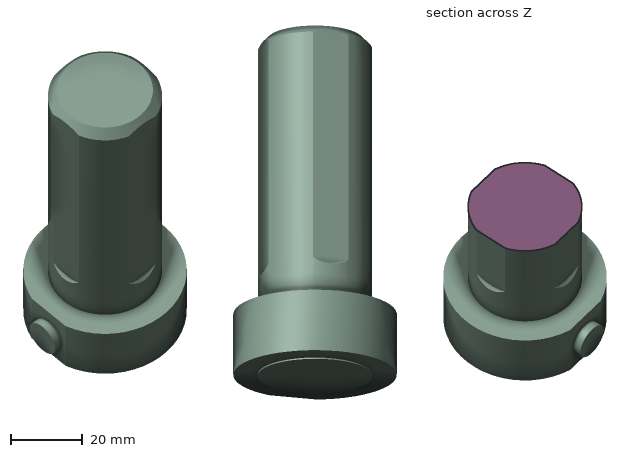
import cadquery as cq
import math

total_height = 98.0
base_diameter = 32.0
base_height = 0.4
collar_diameter = 45.5
collar_height = 17.6
collar_flat_width = 13.5
pin_diameter = 10.3
overall_depth = 46.8
pin_center_height = 8.5
shaft_diameter = 31.8
shaft_chamfer = 2.5
shaft_flat_width = 10.3
flat_end_height = 28.8
flat_end_radius = 12.5

collar_radius = collar_diameter / 2
shaft_radius = shaft_diameter / 2
pin_reach = overall_depth - collar_radius
collar_top = base_height + collar_height


def chord_distance(radius, width):
    """Distance from a circle's center to a chord of the given width."""
    return math.sqrt(radius**2 - (width / 2) ** 2)


def make_shaft():
    """Round shaft standing on the collar, chamfered at its free end."""
    shaft = cq.Workplane("XY").workplane(offset=collar_top)
    shaft = shaft.circle(shaft_radius).extrude(total_height - collar_top)
    return shaft.faces(">Z").chamfer(shaft_chamfer)


def make_flat_cutter():
    """Cutter for the -Y shaft flat, with a rounded lower end that ramps out at 45 degrees."""
    flat_distance = chord_distance(shaft_radius, shaft_flat_width)
    cut_depth = shaft_radius - flat_distance
    arc_center_height = flat_end_height + flat_end_radius
    flat_plane = cq.Workplane("XZ", origin=(0, -flat_distance, 0))
    slab = (
        flat_plane.center(0, (arc_center_height + total_height) / 2)
        .rect(2 * flat_end_radius, total_height - arc_center_height)
        .extrude(cut_depth)
    )
    rounded_end = (
        flat_plane.center(0, arc_center_height)
        .circle(flat_end_radius)
        .extrude(cut_depth, taper=-45)
    )
    return slab.union(rounded_end)


def make_collar():
    """Collar with one flat on its -Y side and a thin round disc underneath."""
    flat_distance = chord_distance(collar_radius, collar_flat_width)
    disc = cq.Workplane("XY").circle(base_diameter / 2).extrude(base_height)
    collar = cq.Workplane("XY").workplane(offset=base_height).circle(collar_radius).extrude(collar_height)
    beyond_flat = (
        cq.Workplane("XZ", origin=(0, -flat_distance, 0))
        .rect(collar_diameter, 2 * total_height)
        .extrude(collar_radius)
    )
    return collar.cut(beyond_flat).union(disc)


def make_pin():
    """Round pin sticking out of the collar flat."""
    return (
        cq.Workplane("XZ")
        .center(0, pin_center_height)
        .circle(pin_diameter / 2)
        .extrude(pin_reach)
    )


shaft = make_shaft()
flat_cutter = make_flat_cutter()
for angle in (0, 90, 180, 270):
    shaft = shaft.cut(flat_cutter.rotate((0, 0, 0), (0, 0, 1), angle))

result = make_collar().union(shaft).union(make_pin())